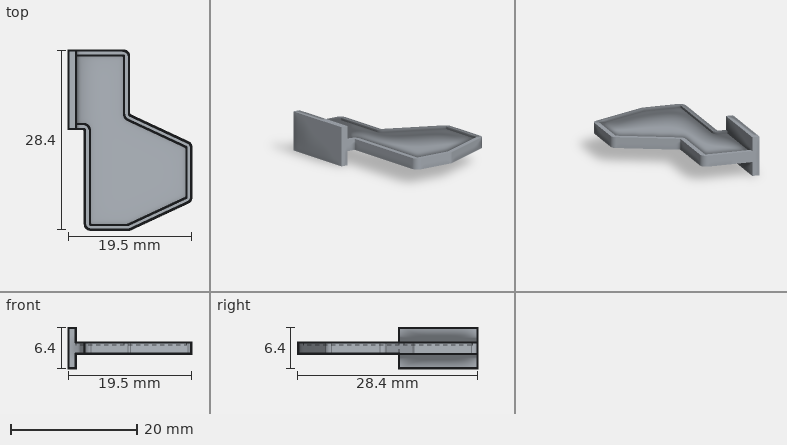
import cadquery as cq
import math

total_length_x = 19.5
total_length_y = 28.4

plate_thickness = 1.2
plate_length = 12.45
plate_height = 6.4

tray_thickness = 1.8
rim_width = 0.8
pocket_depth = 0.4
outward_corner_radius = 1.0
inward_corner_radius = outward_corner_radius - rim_width
arm_right_x = 9.64
body_left_x = 2.6
taper_angle = 25.0
right_edge_length = 9.0

taper_rise = (total_length_x - arm_right_x) * math.tan(math.radians(taper_angle))
right_edge_bottom_y = -total_length_y + taper_rise
right_edge_top_y = right_edge_bottom_y + right_edge_length
arm_bend_y = right_edge_top_y + taper_rise

step_corner = (body_left_x, -plate_length)
bend_corner = (arm_right_x, arm_bend_y)
outward_corners = [
    (arm_right_x, 0),
    (total_length_x, right_edge_top_y),
    (total_length_x, right_edge_bottom_y),
    (arm_right_x, -total_length_y),
    (body_left_x, -total_length_y),
]
inward_corners = [step_corner, bend_corner]


def round_corners(body, corners, radius):
    """Fillet the upright edges that stand on the given XY corners."""
    for x, y in corners:
        body = body.edges(cq.selectors.NearestToPointSelector((x, y, 0))).fillet(radius)
    return body


def make_tray_blank():
    """Flat slab with the tray outline, centred on Z = 0."""
    arm_end, *body_corners = outward_corners
    outline = [(0, 0), arm_end, bend_corner, *body_corners, step_corner, (0, -plate_length)]
    slab = cq.Workplane("XY").polyline(outline).close().extrude(tray_thickness / 2, both=True)
    slab = round_corners(slab, outward_corners, outward_corner_radius)
    return round_corners(slab, inward_corners, inward_corner_radius)


def make_pocket(blank):
    """Shallow recess that follows the outline at rim width; its -X end lies inside the plate."""
    rim_inside = blank.faces(">Z").wires().toPending().offset2D(-rim_width)
    return rim_inside.extrude(-pocket_depth, combine=False)


def make_plate():
    """Upright plate closing the arm end, centred on Z = 0."""
    return (
        cq.Workplane("XY")
        .box(plate_thickness, plate_length, plate_height)
        .translate((plate_thickness / 2, -plate_length / 2, 0))
    )


tray_blank = make_tray_blank()
tray = tray_blank.cut(make_pocket(tray_blank))
result = tray.union(make_plate()).clean()